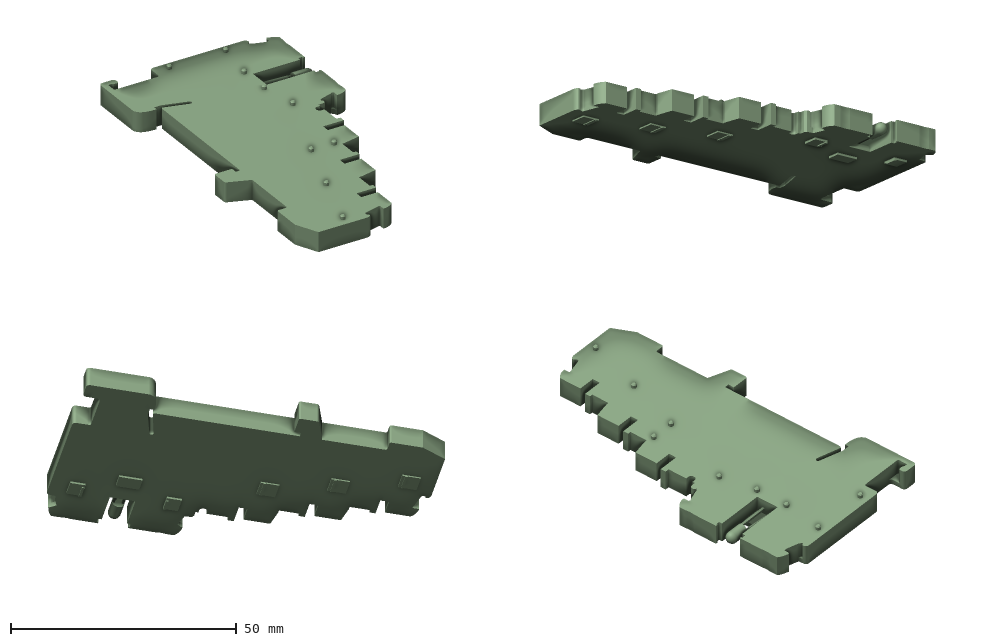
import cadquery as cq
import math

LENGTH = 83.1
WIDTH = 45.3
PLATE = 5.1
LEDGE = 1.25
CUT_HEIGHT = PLATE - LEDGE

LAMP_X = 16.9
SLOT_HALF_WIDTH = 2.9
SLOT_FLOOR_Y = 31.5
SLOT_LEDGE_Y = 36.1
MOUTH_HALF_WIDTH = 3.7
LIP_HALF_WIDTH = 3.4
MOUTH_Y = 43.8
LIP_Y = 44.8

LAMP_Z = 2.7
LAMP_DIAMETER = 2.9
LAMP_RADIUS = LAMP_DIAMETER / 2
LAMP_BASE_Y = 40.2
LEAD_THICKNESS = 0.6
LEAD_OFFSET = 1.1
SLEEVE_RADIUS = 0.5
SLEEVE_TOP_Y = 39.3
SLEEVE_LEAN = 0.5
EMBED = 0.4

STEP_COUNT = 3
STEP_RUN = 14.95
TERRACE_FALL = 9.7
STEP_DROP = TERRACE_FALL / (STEP_COUNT - 1)
FIRST_TERRACE_Y = 36.5
GROOVE_LEFT_X = 34.2
GROOVE_RIGHT_X = 36.1
GROOVE_SIDE_Y = 35.6
GROOVE_FLOOR_Y = 34.9
TERRACE_SLOT_X = 42.55
TERRACE_SLOT_WIDTH = 2.0
TERRACE_SLOT_FLOOR_Y = 32.2
TERRACE_SLOT_LEDGE = 0.6
TAB_WIDTH = 1.4
TAB_RISE = 0.79
FIRST_TAB_EXTRA = 0.25
TERRACE_END_X = 50.6
RISER_LEAN = 0.8
RISER_FOOT = 0.75

BASE_Y = 6.0
CATCH_Y = 4.8
FOOT_X = 48.45
FOOT_Y = 0.2
END_BLOCK_X = 69.9
END_BLOCK_Y = 3.3
LEG_X = 15.5
CLAMP_X = 16.5
NECK_X = 4.1
SHOULDER_Y = 13.2
HOOK_TOP_Y = 4.1
HOOK_POCKET_X = 1.5
HOOK_POCKET_Y = 1.5
CORNER_RADIUS = 0.8
SMALL_RADIUS = 0.4

PIN_RADIUS = 0.62
PIN_HEIGHT = 1.0
PIN_CHAMFER = 0.25
PIN_CENTERS = [
    (2.2, 31.7), (2.2, 16.95), (12.6, 30.0), (21.1, 30.0), (30.6, 31.7),
    (50.7, 30.0), (50.7, 24.0), (65.65, 18.8), (80.7, 13.8),
]

HEAD_PAD_WIDTH = 3.7
HEAD_PAD_LENGTH = 3.4
HEAD_PAD_OFFSET = 9.3
HEAD_PAD_Y = 32.8
HEAD_PAD_DEPTH = 0.5
HEAD_RIB_DEPTH = 0.75
HEAD_RIB_REACH = 3.0
RIB_WIDTH = 0.6
LAMP_PAD_LENGTH = 5.3
LAMP_PAD_WIDTH = 3.2
STEP_PAD_X = 45.2
STEP_PAD_Y = 23.0
STEP_PAD_LENGTH = 4.2
STEP_PAD_WIDTH = 4.1
STEP_PAD_DEPTH = 0.3
STEP_RIB_DEPTH = 0.5
STEP_RIB_OFFSET = 0.7

DENT_DEPTH = 0.125
DENT_INNER = 9.6
DENT_OUTER = 12.2


def box(x0, x1, y0, y1, z0, z1):
    """Block between the given limits along each axis."""
    return cq.Workplane("XY").box(x1 - x0, y1 - y0, z1 - z0, centered=False).translate((x0, y0, z0))


def rounded(x, y, sx, sy, radius):
    """Arc midpoint of a corner at (x, y); sx, sy point from the corner into the arc centre."""
    inset = radius * (1 - math.sqrt(0.5))
    return (x + sx * inset, y + sy * inset)


def terrace(path, step):
    """Tab, slot, land and (except for the last step) the sloping riser of one terrace."""
    shift = step * STEP_RUN
    drop = step * STEP_DROP
    land_y = FIRST_TERRACE_Y - drop
    slot_left = TERRACE_SLOT_X + shift
    slot_right = slot_left + TERRACE_SLOT_WIDTH
    tab_y = land_y + TAB_RISE + (FIRST_TAB_EXTRA if step == 0 else 0)
    floor_y = TERRACE_SLOT_FLOOR_Y - drop
    path = path.lineTo(slot_left - TAB_WIDTH, land_y).lineTo(slot_left - TAB_WIDTH, tab_y)
    path = path.lineTo(slot_left, tab_y).lineTo(slot_left, floor_y)
    path = path.lineTo(slot_right, floor_y).lineTo(slot_right, land_y)
    if step < STEP_COUNT - 1:
        next_y = land_y - STEP_DROP
        foot_x = TERRACE_END_X + shift + RISER_LEAN
        path = path.lineTo(TERRACE_END_X + shift, land_y)
        path = path.lineTo(foot_x, next_y + RISER_FOOT).lineTo(foot_x, next_y)
    return path


def housing():
    """Flat plate with the full outline, traced clockwise from the left wall."""
    r = CORNER_RADIUS
    s = SMALL_RADIUS
    last_land_y = FIRST_TERRACE_Y - (STEP_COUNT - 1) * STEP_DROP
    left_wall_top = 38.4

    path = cq.Workplane("XY").moveTo(0, SHOULDER_Y + r).lineTo(0, left_wall_top - r)
    path = path.threePointArc(rounded(0, left_wall_top, 1, -1, r), (r, left_wall_top))
    path = path.lineTo(2.2, 38.5).lineTo(3.1, 41.55).lineTo(1.5, 42.7)
    path = path.lineTo(1.75, 43.4).threePointArc((2.1, 44.3), (2.75, WIDTH))
    path = path.lineTo(LAMP_X - DENT_OUTER, WIDTH)
    path = path.threePointArc((LAMP_X - (DENT_INNER + DENT_OUTER) / 2, WIDTH - DENT_DEPTH),
                              (LAMP_X - DENT_INNER, WIDTH))

    slot_side = [
        (LIP_HALF_WIDTH, WIDTH), (LIP_HALF_WIDTH, LIP_Y), (MOUTH_HALF_WIDTH, LIP_Y),
        (MOUTH_HALF_WIDTH, MOUTH_Y), (SLOT_HALF_WIDTH, MOUTH_Y), (SLOT_HALF_WIDTH, SLOT_FLOOR_Y),
    ]
    for offset, y in slot_side:
        path = path.lineTo(LAMP_X - offset, y)
    for offset, y in reversed(slot_side):
        path = path.lineTo(LAMP_X + offset, y)

    path = path.lineTo(LAMP_X + DENT_INNER, WIDTH)
    path = path.threePointArc((LAMP_X + (DENT_INNER + DENT_OUTER) / 2, WIDTH - DENT_DEPTH),
                              (LAMP_X + DENT_OUTER, WIDTH))
    path = path.lineTo(30.75, WIDTH).threePointArc((31.7, 44.05), (32.0, 42.7))
    path = path.lineTo(32.0, 42.3).lineTo(31.4, 42.05).lineTo(30.7, 41.5).lineTo(31.6, 38.5)
    path = path.lineTo(33.2, 38.3).lineTo(33.6, 37.7).lineTo(33.6, FIRST_TERRACE_Y)
    path = path.lineTo(GROOVE_LEFT_X, FIRST_TERRACE_Y).lineTo(GROOVE_LEFT_X, GROOVE_SIDE_Y)
    path = path.threePointArc(((GROOVE_LEFT_X + GROOVE_RIGHT_X) / 2, GROOVE_FLOOR_Y),
                              (GROOVE_RIGHT_X, GROOVE_SIDE_Y))
    path = path.lineTo(GROOVE_RIGHT_X, FIRST_TERRACE_Y)

    for step in range(STEP_COUNT):
        path = terrace(path, step)

    path = path.lineTo(80.3, last_land_y).threePointArc((81.2, 25.4), (81.5, 23.85))
    path = path.lineTo(79.95, 23.85).lineTo(80.9, 19.7).threePointArc((81.4, 19.3), (82.0, 19.8))
    path = path.lineTo(82.6, 19.8).threePointArc((82.9, 19.3), (LENGTH, 18.5))

    path = path.lineTo(LENGTH, BASE_Y).lineTo(77.45, END_BLOCK_Y).lineTo(END_BLOCK_X + s, END_BLOCK_Y)
    path = path.threePointArc(rounded(END_BLOCK_X, END_BLOCK_Y, 1, 1, s), (END_BLOCK_X, END_BLOCK_Y + s))
    path = path.lineTo(END_BLOCK_X, BASE_Y - s)
    path = path.threePointArc(rounded(END_BLOCK_X, BASE_Y, -1, -1, s), (END_BLOCK_X - s, BASE_Y))
    path = path.lineTo(55.1, BASE_Y).lineTo(53.1, 0.6).threePointArc((52.9, 0.3), (52.5, FOOT_Y))
    path = path.lineTo(FOOT_X + s, FOOT_Y)
    path = path.threePointArc(rounded(FOOT_X, FOOT_Y, 1, 1, s), (FOOT_X, FOOT_Y + s))
    path = path.lineTo(FOOT_X, CATCH_Y)
    path = path.lineTo(50.0, CATCH_Y).lineTo(50.0, BASE_Y)
    path = path.lineTo(16.9, BASE_Y).lineTo(CLAMP_X, 6.3).lineTo(18.3, 12.55)
    path = path.threePointArc((17.9, 13.2), (17.3, 12.8)).lineTo(LEG_X, 6.7)

    path = path.lineTo(LEG_X, CATCH_Y).lineTo(CLAMP_X, CATCH_Y).lineTo(CLAMP_X, 3.8)
    path = path.threePointArc((16.4, 2.5), (16.0, 1.4))
    path = path.threePointArc((15.4, 0.5), (14.3, 0)).lineTo(r, 0)
    path = path.threePointArc(rounded(0, 0, 1, 1, r), (0, r)).lineTo(0, HOOK_TOP_Y - r)
    path = path.threePointArc(rounded(0, HOOK_TOP_Y, 1, -1, r), (r, HOOK_TOP_Y))
    path = path.lineTo(NECK_X - r, HOOK_TOP_Y)
    path = path.threePointArc(rounded(NECK_X, HOOK_TOP_Y, -1, 1, r), (NECK_X, HOOK_TOP_Y + r))
    path = path.lineTo(NECK_X, SHOULDER_Y - s)
    path = path.threePointArc(rounded(NECK_X, SHOULDER_Y, -1, -1, s), (NECK_X - s, SHOULDER_Y))
    path = path.lineTo(r, SHOULDER_Y)
    path = path.threePointArc(rounded(0, SHOULDER_Y, 1, 1, r), (0, SHOULDER_Y + r))
    return path.close().extrude(PLATE)


def upper_cuts():
    """Pockets open to the upper face that leave a thin layer below."""
    pocket_top = HOOK_TOP_Y + CORNER_RADIUS
    s = SMALL_RADIUS
    pocket = cq.Workplane("XY").workplane(offset=LEDGE).moveTo(HOOK_POCKET_X, HOOK_POCKET_Y)
    pocket = pocket.lineTo(NECK_X - s, HOOK_POCKET_Y)
    pocket = pocket.threePointArc(rounded(NECK_X, HOOK_POCKET_Y, -1, 1, s), (NECK_X, HOOK_POCKET_Y + s))
    pocket = pocket.lineTo(NECK_X, pocket_top).lineTo(HOOK_POCKET_X, pocket_top)
    pocket = pocket.lineTo(HOOK_POCKET_X, HOOK_TOP_Y)
    pocket = pocket.threePointArc((1.75, 3.9), (1.8, 3.6)).lineTo(1.8, 2.8).lineTo(HOOK_POCKET_X, 2.3)
    cuts = pocket.close().extrude(CUT_HEIGHT)
    notch_corners = [
        [(2.0, 42.4), (3.1, 42.4), (3.1, 41.55), (2.5, 41.8)],
        [(1.1, 38.5), (1.6, 37.7), (2.2, 38.5)],
        [(32.0, 42.3), (30.6, 42.3), (30.4, 41.8), (30.7, 41.5), (31.4, 42.05)],
        [(31.5, 38.55), (32.0, 37.8), (32.6, 38.55)],
    ]
    for points in notch_corners:
        cuts = cuts.union(
            cq.Workplane("XY").workplane(offset=LEDGE).polyline(points).close().extrude(CUT_HEIGHT))
    return cuts


def slot_ledges():
    """Thin layers that close the floors of the lamp slot and terrace slots from below."""
    ledges = box(LAMP_X - SLOT_HALF_WIDTH, LAMP_X + SLOT_HALF_WIDTH,
                 SLOT_FLOOR_Y, SLOT_LEDGE_Y, 0, LEDGE)
    for step in range(STEP_COUNT):
        left = TERRACE_SLOT_X + step * STEP_RUN
        floor_y = TERRACE_SLOT_FLOOR_Y - step * STEP_DROP
        ledges = ledges.union(box(left, left + TERRACE_SLOT_WIDTH,
                                  floor_y, floor_y + TERRACE_SLOT_LEDGE, 0, LEDGE))
    return ledges


def rod(start, end, radius):
    """Round rod between two (x, y) points at lamp height."""
    dx = end[0] - start[0]
    dy = end[1] - start[1]
    return cq.Workplane(cq.Solid.makeCylinder(
        radius, math.hypot(dx, dy), cq.Vector(start[0], start[1], LAMP_Z), cq.Vector(dx, dy, 0)))


def square_lead(x, y0, y1):
    half = LEAD_THICKNESS / 2
    return box(x - half, x + half, y0, y1, LAMP_Z - half, LAMP_Z + half)


def lamp():
    """Round-ended bulb on two leads, one of them in a leaning round sleeve."""
    profile = cq.Workplane("XY").moveTo(0, LAMP_BASE_Y).lineTo(LAMP_RADIUS, LAMP_BASE_Y)
    profile = profile.lineTo(LAMP_RADIUS, WIDTH - LAMP_RADIUS)
    profile = profile.threePointArc(rounded(LAMP_RADIUS, WIDTH, -1, -1, LAMP_RADIUS), (0, WIDTH)).close()
    bulb = profile.revolve(360, (0, 0, 0), (0, 1, 0)).translate((LAMP_X, 0, LAMP_Z))
    wall_y = SLOT_FLOOR_Y - EMBED
    lead_top_y = LAMP_BASE_Y + EMBED
    left_x = LAMP_X - LEAD_OFFSET
    right_x = LAMP_X + LEAD_OFFSET
    right_lead = square_lead(right_x, wall_y, lead_top_y)
    left_lead = square_lead(left_x, SLEEVE_TOP_Y - EMBED, lead_top_y)
    sleeve = rod((left_x - SLEEVE_LEAN, wall_y), (left_x, SLEEVE_TOP_Y), SLEEVE_RADIUS)
    return bulb.union(right_lead).union(left_lead).union(sleeve)


def pins():
    """Small chamfered locating pins on the upper face."""
    return (cq.Workplane("XY").workplane(offset=PLATE - EMBED).pushPoints(PIN_CENTERS)
            .circle(PIN_RADIUS).extrude(PIN_HEIGHT + EMBED).faces(">Z").chamfer(PIN_CHAMFER))


def pads():
    """Flat contact pads below the lower face, most with a deeper rib along one end."""
    pad_end = LAMP_X - HEAD_PAD_OFFSET
    pad_top = HEAD_PAD_Y + HEAD_PAD_WIDTH
    head = box(pad_end - HEAD_PAD_LENGTH, pad_end, HEAD_PAD_Y, pad_top, -HEAD_PAD_DEPTH, EMBED)
    head = head.union(box(pad_end - RIB_WIDTH, pad_end, pad_top - HEAD_RIB_REACH, pad_top,
                          -HEAD_RIB_DEPTH, EMBED))
    all_pads = head.union(head.mirror("YZ", (LAMP_X, 0, 0)))
    half = LAMP_PAD_LENGTH / 2
    all_pads = all_pads.union(box(LAMP_X - half, LAMP_X + half,
                                  SLOT_FLOOR_Y - LAMP_PAD_WIDTH, SLOT_FLOOR_Y, -HEAD_PAD_DEPTH, EMBED))
    for step in range(STEP_COUNT):
        x = STEP_PAD_X + step * STEP_RUN
        y = STEP_PAD_Y - step * STEP_DROP
        y_end = y + STEP_PAD_WIDTH
        rib_x = x + STEP_RIB_OFFSET
        all_pads = all_pads.union(box(x, x + STEP_PAD_LENGTH, y, y_end, -STEP_PAD_DEPTH, EMBED))
        all_pads = all_pads.union(box(rib_x, rib_x + RIB_WIDTH, y, y_end, -STEP_RIB_DEPTH, EMBED))
    return all_pads


result = housing().cut(upper_cuts()).union(slot_ledges()).union(lamp()).union(pins()).union(pads())